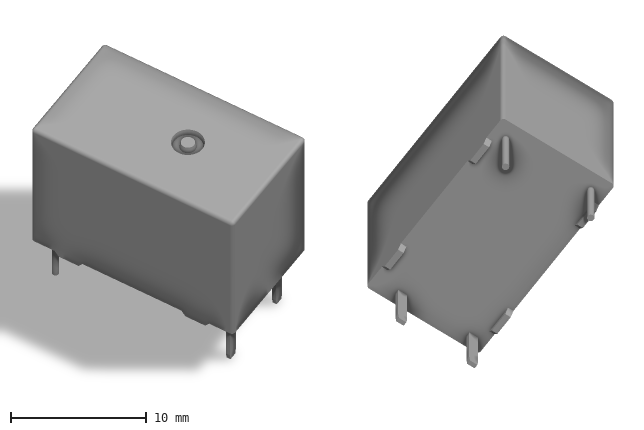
import cadquery as cq

LENGTH = 17.6
WIDTH = 10.1
TOTAL_HEIGHT = 16.3
PIN_LENGTH = 4.01
BODY_HEIGHT = TOTAL_HEIGHT - PIN_LENGTH
EDGE_RADIUS = 0.3

FOOT_X = 5.5
FOOT_ROOT_LENGTH = 2.43
FOOT_TIP_LENGTH = 1.72
FOOT_HEIGHT = 0.42
FOOT_DEPTH = 0.5

ROUND_PIN_X = -7.43
ROUND_PIN_DIAMETER = 0.55
FLAT_PIN_X = 7.83
FLAT_PIN_THICKNESS = 0.35
FLAT_PIN_WIDTH = 0.81
FLAT_TIP_WIDTH = 0.67
FLAT_TIP_LENGTH = 0.5
OUTER_PIN_Y = 3.82
INNER_PIN_Y = 2.55

VENT_X = 1.69
VENT_DEPTH = 0.5
VENT_TOP_DIAMETER = 2.5
VENT_FLOOR_DIAMETER = 2.32
POST_TOP_DIAMETER = 1.05
POST_BASE_DIAMETER = 1.25

OVERLAP = 0.18


def make_housing():
    body = cq.Workplane("XY").box(LENGTH, WIDTH, BODY_HEIGHT, centered=(True, True, False))
    return body.edges("|Z or >Z").fillet(EDGE_RADIUS)


def make_foot(x, side):
    half_root = FOOT_ROOT_LENGTH / 2
    half_tip = FOOT_TIP_LENGTH / 2
    outline = [
        (x - half_root, 0),
        (x - half_tip, -FOOT_HEIGHT),
        (x + half_tip, -FOOT_HEIGHT),
        (x + half_root, 0),
    ]
    centre_y = side * (WIDTH - FOOT_DEPTH) / 2
    foot = cq.Workplane("XZ").polyline(outline).close().extrude(FOOT_DEPTH / 2, both=True)
    return foot.translate((0, centre_y, 0))


def make_round_pin(y):
    pin = cq.Workplane("XY").circle(ROUND_PIN_DIAMETER / 2).extrude(PIN_LENGTH + OVERLAP)
    return pin.translate((ROUND_PIN_X, y, -PIN_LENGTH))


def make_flat_pin(y):
    half_width = FLAT_PIN_WIDTH / 2
    half_tip = FLAT_TIP_WIDTH / 2
    taper_z = FLAT_TIP_LENGTH - PIN_LENGTH
    outline = [
        (y - half_width, OVERLAP),
        (y - half_width, taper_z),
        (y - half_tip, -PIN_LENGTH),
        (y + half_tip, -PIN_LENGTH),
        (y + half_width, taper_z),
        (y + half_width, OVERLAP),
    ]
    pin = cq.Workplane("YZ").polyline(outline).close().extrude(FLAT_PIN_THICKNESS / 2, both=True)
    return pin.translate((FLAT_PIN_X, 0, 0))


def make_vent_cone(floor_diameter, top_diameter):
    cone = cq.Solid.makeCone(floor_diameter / 2, top_diameter / 2, VENT_DEPTH)
    return cq.Workplane(cone.translate(cq.Vector(VENT_X, 0, BODY_HEIGHT - VENT_DEPTH)))


recess = make_vent_cone(VENT_FLOOR_DIAMETER, VENT_TOP_DIAMETER)
post = make_vent_cone(POST_BASE_DIAMETER, POST_TOP_DIAMETER)
result = make_housing().cut(recess.cut(post))

for side in (-1, 1):
    for foot_x in (-FOOT_X, FOOT_X):
        result = result.union(make_foot(foot_x, side))
    result = result.union(make_round_pin(side * OUTER_PIN_Y))

for pin_y in (-OUTER_PIN_Y, INNER_PIN_Y):
    result = result.union(make_flat_pin(pin_y))